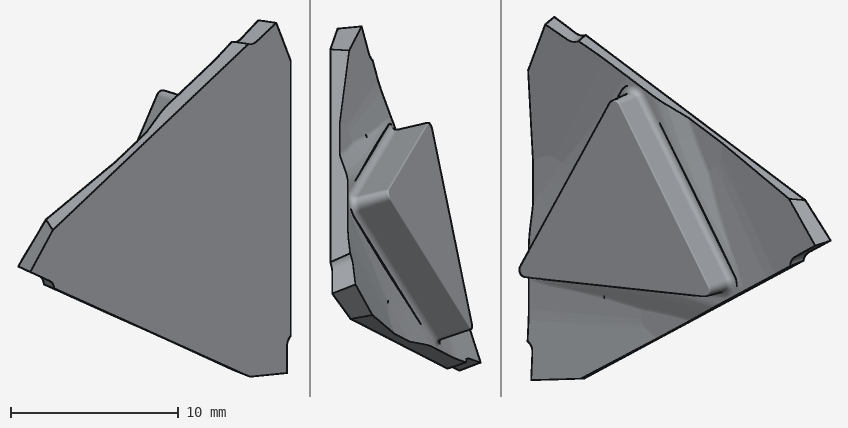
import cadquery as cq
import math


CORNERS = 3
TURN = 360 / CORNERS

PLATE_INRADIUS = 7.1
LAND_HEIGHT = 1.14
PLATE_STOCK = 2.0

TOTAL_HEIGHT = 3.5
BOSS_CORE_INRADIUS = 3.5
BOSS_FIRST_CORNER = 90
BOSS_FOOT_RADIUS = 0.53
BOSS_DRAFT = 2.7
BOSS_TOP_FILLET = 0.08
BOSS_FOOT_FILLET = 0.43
BOSS_FOOT_DEPTH = 0.25

TIP_X = -6.81
TIP_Y = -10.84
TIP_END_SLOPE = 7.0
NOTCH_START_Y = -8.55
NOTCH_RADIUS = 0.75
END_RELIEF = 9.8
SIDE_RELIEF = 2.3

POCKET_FLOOR = 0.62
POCKET_RADIUS = 34.0
POCKET_MID_X = -1.85
POCKET_REACH_Y = -5.64
WALL_SLOPE = 22.0
WALL_TOP_RADIUS = 2.05
WALL_FOOT_FILLET = 0.4

RAMP_START_X = -8.0
RAMP_LENGTH = 12.0
RAMP_FLOOR_X = 0.29
RAMP_SINK = 4.0
RAMP_RISE = 5.4
RAMP_INNER_Y = -4.4
RAMP_OUTER_Y = -12.0
RAMP_BEND_Y = -6.68
RAMP_BEND_REACH = 0.33

CLEARANCE = 3.0
SELECT_BAND = 0.01


def tan(angle):
    return math.tan(math.radians(angle))


def sin(angle):
    return math.sin(math.radians(angle))


def cos(angle):
    return math.cos(math.radians(angle))


def around(shape):
    """The shape repeated at every corner."""
    return [shape.rotate((0, 0, 0), (0, 0, 1), TURN * i) for i in range(CORNERS)]


def triangle(inradius, first_angle):
    """Equilateral triangle with its first vertex at the given angle."""
    points = []
    for i in range(CORNERS):
        angle = first_angle + TURN * i
        points.append((2 * inradius * cos(angle), 2 * inradius * sin(angle)))
    return cq.Workplane("XY").polyline(points).close()


def sweep_along(profile, direction, length):
    """Prism of a closed profile along a leaning direction."""
    return cq.Workplane(cq.Solid.extrudeLinear(profile.val(), [], direction * length))


def tip_cutter():
    """Material ground away around one tip: end face, notched side and its run-out arc."""
    edge_x = -PLATE_INRADIUS
    bend = math.degrees(math.acos(1 - (TIP_X - edge_x) / NOTCH_RADIUS))
    arc_end_y = NOTCH_START_Y - NOTCH_RADIUS * sin(bend)
    arc_mid = (
        TIP_X - NOTCH_RADIUS * (1 - cos(bend / 2)),
        arc_end_y + NOTCH_RADIUS * sin(bend / 2),
    )
    run_out = (edge_x - CLEARANCE * tan(bend), NOTCH_START_Y + CLEARANCE)
    right_x = PLATE_INRADIUS
    left_x = edge_x - 2 * CLEARANCE * tan(bend)
    bottom_y = TIP_Y - CLEARANCE
    profile = (
        cq.Workplane("XY")
        .moveTo(*run_out)
        .lineTo(edge_x, NOTCH_START_Y)
        .threePointArc(arc_mid, (TIP_X, arc_end_y))
        .lineTo(TIP_X, TIP_Y)
        .lineTo(right_x, TIP_Y + (right_x - TIP_X) * tan(TIP_END_SLOPE))
        .lineTo(right_x, bottom_y)
        .lineTo(left_x, bottom_y)
        .lineTo(left_x, NOTCH_START_Y + CLEARANCE)
        .close()
    )
    return sweep_along(profile, cq.Vector(tan(SIDE_RELIEF), tan(END_RELIEF), 1), PLATE_STOCK)


def tip_ramp():
    """Ramp standing in the pocket: flat beside the boss, then rising towards the tip."""
    bend_height = POCKET_FLOOR + (RAMP_FLOOR_X - RAMP_START_X) * tan(RAMP_SINK)
    profile = (
        cq.Workplane("YZ", origin=(RAMP_START_X, 0, 0))
        .moveTo(RAMP_INNER_Y, 0)
        .lineTo(RAMP_INNER_Y, bend_height)
        .lineTo(RAMP_BEND_Y + RAMP_BEND_REACH, bend_height)
        .tangentArcPoint(
            (
                RAMP_BEND_Y - RAMP_BEND_REACH * cos(RAMP_RISE),
                bend_height + RAMP_BEND_REACH * sin(RAMP_RISE),
            ),
            relative=False,
        )
        .lineTo(RAMP_OUTER_Y, bend_height + (RAMP_BEND_Y - RAMP_OUTER_Y) * tan(RAMP_RISE))
        .lineTo(RAMP_OUTER_Y, 0)
        .close()
    )
    return sweep_along(profile, cq.Vector(1, 0, -tan(RAMP_SINK)), RAMP_LENGTH)


def pocket():
    """Shallow cone that clears the chip pocket, rounded over into the land."""
    depth = LAND_HEIGHT - POCKET_FLOOR
    arc_drop = WALL_TOP_RADIUS * (1 - cos(WALL_SLOPE))
    arc_start = POCKET_RADIUS + (depth - arc_drop) / tan(WALL_SLOPE)
    arc_end = arc_start + WALL_TOP_RADIUS * sin(WALL_SLOPE)
    return (
        cq.Workplane("XZ")
        .moveTo(0, POCKET_FLOOR)
        .lineTo(POCKET_RADIUS, POCKET_FLOOR)
        .lineTo(arc_start, LAND_HEIGHT - arc_drop)
        .tangentArcPoint((arc_end, LAND_HEIGHT), relative=False)
        .lineTo(arc_end, PLATE_STOCK)
        .lineTo(0, PLATE_STOCK)
        .close()
        .revolve(360, (0, 0), (0, 1))
        .translate((POCKET_MID_X, POCKET_REACH_Y - POCKET_RADIUS, 0))
    )


def pocket_cutter():
    """The pocket with the ramp left standing in it, rounded along the foot of its wall."""
    cutter = pocket().cut(tip_ramp())
    wall_foot = []
    for wall in cutter.faces("%CONE").vals():
        for edge in wall.Edges():
            is_level = edge.geomType() == "CIRCLE"
            along_floor = is_level and edge.Center().z < POCKET_FLOOR + SELECT_BAND
            along_ramp = edge.geomType() == "ELLIPSE"
            if along_floor or along_ramp:
                wall_foot.append(edge)
    return cutter.newObject(wall_foot).fillet(WALL_FOOT_FILLET)


def boss_outline(margin):
    """Rounded triangle the given margin outside the boss walls at land height."""
    return triangle(BOSS_CORE_INRADIUS, BOSS_FIRST_CORNER).offset2D(BOSS_FOOT_RADIUS + margin)


def boss():
    """Drafted boss flaring into its foot, which reaches down below the pocket edges."""
    reach = 2 * PLATE_INRADIUS
    inner = reach - CLEARANCE
    land = cq.Workplane("XY").rect(2 * reach, 2 * reach).extrude(-BOSS_FOOT_DEPTH)
    walls = boss_outline(0).extrude(TOTAL_HEIGHT - LAND_HEIGHT, taper=BOSS_DRAFT)
    where_walls_meet_land = cq.selectors.BoxSelector(
        (-inner, -inner, -SELECT_BAND), (inner, inner, SELECT_BAND)
    )
    flared = (
        land.union(walls)
        .faces(">Z")
        .edges()
        .fillet(BOSS_TOP_FILLET)
        .edges(where_walls_meet_land)
        .fillet(BOSS_FOOT_FILLET)
    )
    footprint = boss_outline(BOSS_FOOT_FILLET).extrude(TOTAL_HEIGHT, both=True)
    return flared.intersect(footprint).translate((0, 0, LAND_HEIGHT))


def plate():
    """Plate up to the land, with a pocket, a ramp and a ground tip at every corner."""
    stock = triangle(PLATE_INRADIUS, 0).extrude(PLATE_STOCK)
    above_land = stock.translate((0, 0, LAND_HEIGHT))
    for cutter in around(pocket()):
        above_land = above_land.cut(cutter)
    body = stock.cut(above_land)
    for cutter in around(pocket_cutter()):
        body = body.cut(cutter)
    for cutter in around(tip_cutter()):
        body = body.cut(cutter)
    return body


flat_part = plate().union(boss())
standing = cq.Plane(origin=(0, 0, 0), xDir=(0, -1, 0), normal=(-1, 0, 0))
result = cq.Workplane(flat_part.val().moved(standing.location))